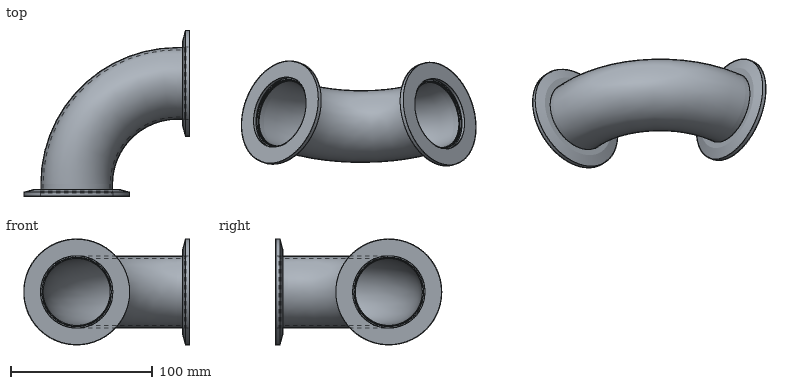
import cadquery as cq
import math

tube_diameter = 50.8
tube_wall = 1.65
tube_bore = tube_diameter - 2 * tube_wall
bend_radius = 71.2
bend_angle = 90
face_to_axis = 80.0

flange_diameter = 75.0
rim_thickness = 3.0
taper_depth = 2.0
taper_angle = 15
taper_end_diameter = flange_diameter - 2 * taper_depth / math.tan(math.radians(taper_angle))
seal_recess_diameter = 51.2
seal_recess_depth = 2.5
lip_bore = 49.1
lip_thickness = 1.3
socket_clearance = 0.2
socket_diameter = tube_diameter + socket_clearance

socket_floor = seal_recess_depth + lip_thickness
flange_thickness = rim_thickness + taper_depth
face_to_bend = face_to_axis - bend_radius
stub_length = face_to_bend - socket_floor


def tube_section(plane):
    """Ring-shaped cross-section of the tube, centred on the plane's origin."""
    return cq.Workplane(plane).circle(tube_diameter / 2).circle(tube_bore / 2)


def make_elbow():
    """Tube running along +Y from the front end, then bending round to face +X."""
    bend = tube_section("XZ").revolve(bend_angle, (bend_radius, 0, 0), (bend_radius, -1, 0))
    front_stub = tube_section("XZ").extrude(stub_length)
    side_stub = tube_section("YZ").extrude(stub_length).translate((bend_radius, bend_radius, 0))
    return bend.union(front_stub).union(side_stub)


def make_flange():
    """Flange about the Y axis, with its sealing face at the origin and facing -Y."""
    profile = [
        (seal_recess_diameter / 2, 0),
        (flange_diameter / 2, 0),
        (flange_diameter / 2, rim_thickness),
        (taper_end_diameter / 2, flange_thickness),
        (socket_diameter / 2, flange_thickness),
        (socket_diameter / 2, socket_floor),
        (lip_bore / 2, socket_floor),
        (lip_bore / 2, seal_recess_depth),
        (seal_recess_diameter / 2, seal_recess_depth),
    ]
    return cq.Workplane("XY").polyline(profile).close().revolve(360, (0, 0, 0), (0, 1, 0))


elbow = make_elbow()

flange_places = [
    (0, (0, -face_to_bend, 0)),
    (90, (face_to_axis, bend_radius, 0)),
]
flanges = []
for turn, face_centre in flange_places:
    flanges.append(make_flange().rotate((0, 0, 0), (0, 0, 1), turn).translate(face_centre))

result = cq.Compound.makeCompound([elbow.val(), *[flange.val() for flange in flanges]])